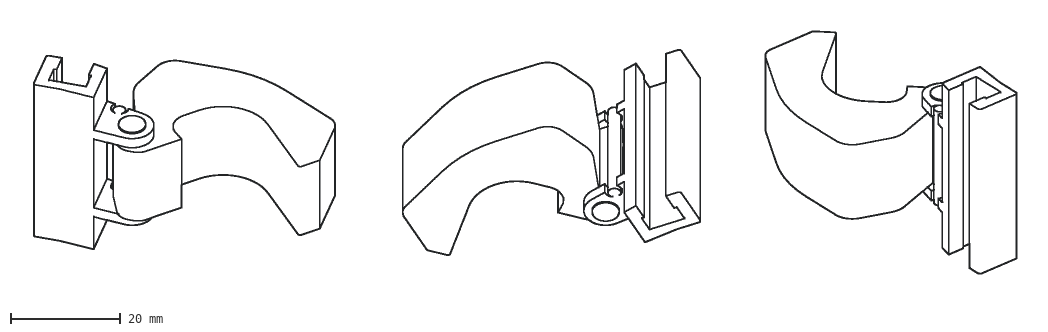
import cadquery as cq
import math

rail_height = 35.0
lug_span = 20.0
arm_height = 15.8
pivot_height = 20.55

rail_width = 11.65
rail_depth = 9.05
rail_corner_radius = 0.55
mouth_left, mouth_right = 2.9, 8.95
cavity_left, cavity_right = 2.4, 9.45
cavity_floor = 2.05
cavity_top = 5.45
taper_start = 5.0

pivot_x, pivot_y = 18.0, 2.55
pivot_diameter = 5.0
lug_radius = 4.0
lip_y = 8.95

notch_x, notch_y = 14.45, 6.8
notch_radius = 1.6
pin_x, pin_y = 14.5, 6.3
pin_radius = 1.15

arm_right = 53.0
arm_top = 25.95
arm_bottom = -2.45
heel_radius = 2.9
ledge_y = 5.2

ARM_CORNERS = [
    (17.85, arm_top, 3.9),
    (35.8, arm_top, 24.9),
    (arm_right, 16.05, 2.95),
    (arm_right, 4.45, 0),
    (49.9, 1.4, 0.5),
    (34.7, 19.65, 8.95),
    (22.85, 7.8, 3.7),
    (27.1, 3.65, 0),
    (20.95, arm_bottom, heel_radius),
    (16.8, arm_bottom, heel_radius),
    (13.9, 4.15, 4.75),
    (13.9, ledge_y, 0),
    (18.0, ledge_y, 0),
    (14.35, 16.05, 5.05),
]


def toward(start, end, distance):
    """Point at the given distance from start along the line to end."""
    length = math.dist(start, end)
    return tuple(a + (b - a) * distance / length for a, b in zip(start, end))


def corner_points(before, corner, after):
    """Start, middle and end of a corner's arc, or just the corner if it is sharp."""
    point, radius = corner[:2], corner[2]
    if radius == 0:
        return [point]
    directions = [math.atan2(p[1] - point[1], p[0] - point[0]) for p in (before, after)]
    half_angle = math.acos(math.cos(directions[0] - directions[1])) / 2
    tangent_length = radius / math.tan(half_angle)
    start = toward(point, before[:2], tangent_length)
    end = toward(point, after[:2], tangent_length)
    chord_middle = tuple((a + b) / 2 for a, b in zip(start, end))
    middle = toward(point, chord_middle, radius / math.sin(half_angle) - radius)
    return [start, middle, end]


def rounded_prism(corners, height):
    """Prism centred on Z whose outline follows the rounded corners."""
    count = len(corners)
    outline = None
    for i, corner in enumerate(corners):
        points = corner_points(corners[i - 1], corner, corners[(i + 1) % count])
        if outline is None:
            outline = cq.Workplane("XY", origin=(0, 0, -height / 2)).moveTo(*points[0])
        else:
            outline = outline.lineTo(*points[0])
        if len(points) > 1:
            outline = outline.threePointArc(points[1], points[2])
    return outline.close().extrude(height)


def cylinder(x, y, radius, height):
    """Upright cylinder centred on Z."""
    return cq.Workplane("XY").center(x, y).circle(radius).extrude(height / 2, both=True)


def block(x_min, x_max, y_min, y_max, height):
    """Upright block centred on Z."""
    center = ((x_min + x_max) / 2, (y_min + y_max) / 2)
    return cq.Workplane("XY").center(*center).rect(x_max - x_min, y_max - y_min).extrude(height / 2, both=True)


def lug_tangent_point(x, y, side):
    """Where a line from (x, y) touches the lug's round end; side is +1 for +Y, -1 for -Y."""
    distance = math.dist((x, y), (pivot_x, pivot_y))
    to_start = math.atan2(y - pivot_y, x - pivot_x)
    angle = to_start - side * math.acos(lug_radius / distance)
    return pivot_x + lug_radius * math.cos(angle), pivot_y + lug_radius * math.sin(angle)


def make_bracket():
    """Channel rail with two lugs, whose sloping faces run on from the rail."""
    upper_tangent = lug_tangent_point(mouth_right, lip_y, 1)
    lower_tangent = lug_tangent_point(taper_start, 0, -1)
    body = (
        cq.Workplane("XY", origin=(0, 0, -rail_height / 2))
        .lineTo(0, rail_depth)
        .lineTo(mouth_left, rail_depth)
        .lineTo(mouth_left, cavity_top)
        .lineTo(cavity_left, cavity_top)
        .lineTo(cavity_left, cavity_floor)
        .lineTo(cavity_right, cavity_floor)
        .lineTo(cavity_right, cavity_top)
        .lineTo(mouth_right, cavity_top)
        .lineTo(mouth_right, lip_y)
        .lineTo(*upper_tangent)
        .threePointArc((pivot_x + lug_radius, pivot_y), lower_tangent)
        .lineTo(taper_start, 0)
        .close()
        .extrude(rail_height)
        .edges("|Z and <X")
        .fillet(rail_corner_radius)
    )
    lug_end = pivot_x + lug_radius
    beside_rail = block(rail_width, lug_end, pivot_y - lug_radius, rail_depth, rail_height)
    lug_zone = block(rail_width, lug_end, pivot_y - lug_radius, rail_depth, lug_span)
    arm_gap = block(rail_width, lug_end, pivot_y - lug_radius, rail_depth, arm_height)
    notch = cylinder(notch_x, notch_y, notch_radius, lug_span)
    return body.cut(beside_rail.cut(lug_zone)).cut(arm_gap).cut(notch)


arm = rounded_prism(ARM_CORNERS, arm_height)
pivot = cylinder(pivot_x, pivot_y, pivot_diameter / 2, pivot_height)
spring_pin = cylinder(pin_x, pin_y, pin_radius, lug_span)

result = make_bracket().union(arm).union(pivot).union(spring_pin)